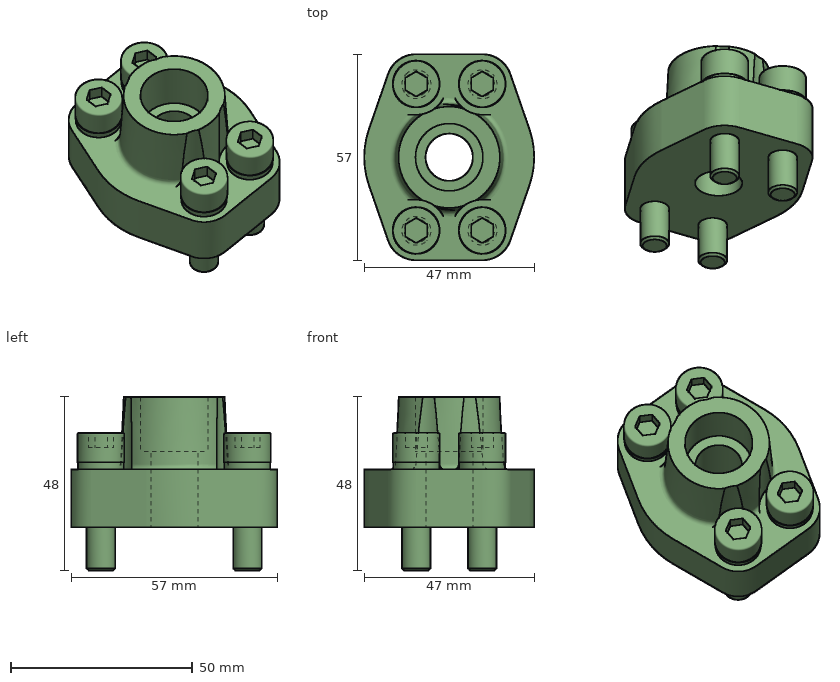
import cadquery as cq
import math

bolt_x = 9.1
bolt_y = 20.25
bolt_places = [(sx * bolt_x, sy * bolt_y) for sx in (-1, 1) for sy in (-1, 1)]

plate_thickness = 16.0
plate_length = 57.0
plate_width = 47.0
side_radius = plate_width / 2
corner_radius = plate_length / 2 - bolt_y

neck_height = 20.0
neck_top_diameter = 28.0
neck_base_diameter = 30.1
neck_fillet = 1.35
bore_diameter = 13.0
socket_diameter = 18.65
socket_depth = 15.0
neck_top = plate_thickness + neck_height

clearance_radius = 8.5

shank_diameter = 8.0
shank_protrusion = 11.95
tip_chamfer = 0.7
washer_diameter = 12.7
washer_thickness = 2.0
head_diameter = 13.0
head_height = 8.05
head_fillet = 0.45
hex_across_flats = 6.0
hex_depth = 4.0
head_top = plate_thickness + washer_thickness + head_height


def make_plate():
    """Plate outlined by four corner arcs, two side arcs and their common tangents."""
    bolt_angle = math.atan2(bolt_y, bolt_x)
    spread = math.acos((side_radius - corner_radius) / math.hypot(bolt_x, bolt_y))
    tangent_angle = bolt_angle - spread
    mid_angle = (tangent_angle + math.pi / 2) / 2

    def side_point(angle):
        return side_radius * math.cos(angle), side_radius * math.sin(angle)

    def corner_point(angle):
        return (
            bolt_x + corner_radius * math.cos(angle),
            bolt_y + corner_radius * math.sin(angle),
        )

    quarter = (
        cq.Workplane("XY")
        .moveTo(*side_point(0))
        .threePointArc(side_point(tangent_angle / 2), side_point(tangent_angle))
        .lineTo(*corner_point(tangent_angle))
        .threePointArc(corner_point(mid_angle), corner_point(math.pi / 2))
        .lineTo(0, plate_length / 2)
    )
    return quarter.mirrorY().mirrorX().extrude(plate_thickness)


def add_neck(body):
    """Tapered neck blended into the top of the plate."""
    neck = (
        cq.Workplane("XY", origin=(0, 0, plate_thickness))
        .circle(neck_base_diameter / 2)
        .workplane(offset=neck_height)
        .circle(neck_top_diameter / 2)
        .loft(ruled=True)
    )
    neck_foot = cq.NearestToPointSelector((0, 0, plate_thickness))
    return body.union(neck).edges(neck_foot).fillet(neck_fillet)


def head_clearance(x, y):
    """Round pocket about one bolt, open towards the side and end of the plate."""
    out_x = math.copysign(side_radius, x)
    out_y = math.copysign(plate_length / 2, y)
    inner_y = y - math.copysign(clearance_radius, y)
    base = cq.Workplane("XY", origin=(0, 0, plate_thickness))
    round_part = base.center(x, y).circle(clearance_radius).extrude(neck_height)
    open_part = (
        base.moveTo(x, inner_y)
        .lineTo(out_x, inner_y)
        .lineTo(out_x, out_y)
        .lineTo(x, out_y)
        .close()
        .extrude(neck_height)
    )
    return round_part.union(open_part)


def make_bolt():
    """Socket head bolt with washer, on the Z axis at its mounted height."""
    shank = (
        cq.Workplane("XY", origin=(0, 0, -shank_protrusion))
        .circle(shank_diameter / 2)
        .extrude(shank_protrusion + plate_thickness)
        .faces("<Z")
        .chamfer(tip_chamfer)
    )
    washer = (
        cq.Workplane("XY", origin=(0, 0, plate_thickness))
        .circle(washer_diameter / 2)
        .extrude(washer_thickness)
    )
    hex_socket = (
        cq.Workplane("XY", origin=(0, 0, head_top))
        .polygon(6, hex_across_flats, circumscribed=True)
        .extrude(-hex_depth)
    )
    head = (
        cq.Workplane("XY", origin=(0, 0, plate_thickness + washer_thickness))
        .circle(head_diameter / 2)
        .extrude(head_height)
        .faces(">Z")
        .fillet(head_fillet)
        .cut(hex_socket)
    )
    return shank.union(washer).union(head)


body = add_neck(make_plate())
for x, y in bolt_places:
    body = body.cut(head_clearance(x, y))

body = (
    body.faces(">Z")
    .workplane(origin=(0, 0, neck_top))
    .cboreHole(bore_diameter, socket_diameter, socket_depth)
)

bolt = make_bolt()
for x, y in bolt_places:
    body = body.union(bolt.translate((x, y, 0)))

result = body